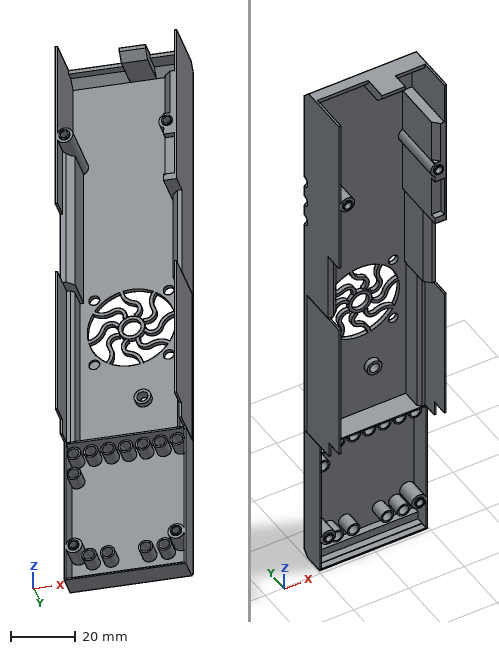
import cadquery as cq
import math


width = 39.0
length = 191.0
half_width = width / 2
wall_depth = 21.0
wall = 0.8
seam_z = 51.0
overlap = 0.4

housing_floor = 1.5
top_wall = 1.3
top_chamfer = 2.9
inner_slope = 2.7
top_left_depth = 6.9
top_right_depth = 9.4
tab_left, tab_right = -0.4, 8.0
tab_depth = 15.3

window_depth = 14.5
left_window_bottom, left_window_top = 107.3, 132.7
right_window_bottom, right_window_top = 105.2, 135.6
corner_notch_height = 5.3
corner_notch_depth = 14.9

panel_inset = 0.1
panel_back_depth = 1.7

left_rib_edge, left_rib_bevel = -15.3, 2.3
right_rib_edge, right_rib_bevel = 16.0, 2.1
lower_left_rib_edge, lower_right_rib_edge = -16.5, 16.5
lower_rib_bevel = 1.1
lower_rib_depth = 9.4

block_edge = 15.3
block_top = 176.0
block_bevel = 2.1
block_bevel_bottom = 160.5
pocket_bottom, pocket_top = 137.9, 152.8
pocket_depth = 2.1
pocket_right = 18.7

post_x = 16.5
post_diameter = 5.3
post_tip_diameter = 3.5
post_tip_height = 0.5
post_hole_diameter = 2.5
upper_post_z = 157.5

dimple_radius = 2.1
dimple_depth = 2.1
dimple_pitch = 7.8
dimple_bottom_z = 137.3
dimple_count = 3

fan_z = 95.9
fan_radius = 14.1
fan_hole_spacing = 23.9
fan_hole_diameter = 3.5
blind_hole_floor = 0.8
hub_outer_radius = 4.2
hub_inner_radius = 3.0
arm_count = 8
arm_half_width = 0.5
inner_bend_offset = 6.7
inner_bend_radius = 2.7
outer_bend_radius = 5.3
bend_start, bend_join, bend_end = -65.0, 75.0, 178.0

boss_x, boss_z = 4.0, 68.4
boss_hole_diameter = 3.5
boss_depth = 3.5

cover_floor = 2.3
cover_depth = 9.5
cover_wall = 0.5
cover_chamfer = 2.1
step_top = 3.6
step_depth = 4.8
lip_top = 0.8
lip_depth = 7.3
lower_post_z = 12.5

tube_diameter = 4.5
tube_hole_diameter = 3.5
tube_depth = 7.6
tube_row_z = 48.0
tube_row_left = -17.0
tube_pitch = 5.5
tube_row_count = 7
single_tube_z = 40.5
end_tube_z = 9.5
end_tube_positions = (-12.0, -6.1, 6.1, 12.0)


def slab(x_min, x_max, z_min, z_max, depth_min, depth_max):
    """Box given by its X, Z and depth ranges."""
    return (
        cq.Workplane("XZ", origin=(0, -depth_min, 0))
        .center((x_min + x_max) / 2, (z_min + z_max) / 2)
        .rect(x_max - x_min, z_max - z_min)
        .extrude(depth_max - depth_min)
    )


def rod(x, z, diameter, depth_min, depth_max):
    """Cylinder along the depth direction."""
    base = cq.Workplane("XZ", origin=(x, -depth_min, z))
    return base.circle(diameter / 2).extrude(depth_max - depth_min)


def prism_along_z(points, z_min, z_max):
    """Extrude an (x, depth) outline along Z."""
    outline = [(x, -depth) for x, depth in points]
    return cq.Workplane("XY", origin=(0, 0, z_min)).polyline(outline).close().extrude(z_max - z_min)


def prism_along_x(points, x_min=-half_width, x_max=half_width):
    """Extrude a (depth, z) outline along X, by default across the full width."""
    outline = [(-depth, z) for depth, z in points]
    return cq.Workplane("YZ", origin=(x_min, 0, 0)).polyline(outline).close().extrude(x_max - x_min)


def bevelled_rib(edge, bevel, depth, z_min, z_max):
    """Rib from a side wall to its inner edge, with a 45 degree bevel at the front."""
    side = math.copysign(1, edge)
    outer = side * (half_width - overlap)
    points = [
        (outer, 0),
        (edge, 0),
        (edge, depth - bevel),
        (edge + side * bevel, depth),
        (outer, depth),
    ]
    return prism_along_z(points, z_min, z_max)


def screw_post(x, z, shoulder_depth):
    """Solid post with a narrower tip."""
    post = rod(x, z, post_diameter, 0, shoulder_depth)
    return post.union(rod(x, z, post_tip_diameter, 0, shoulder_depth + post_tip_height))


def screw_hole(x, z, bottom_depth, shoulder_depth):
    """Blind screw hole, open at the tip of a post."""
    return rod(x, z, post_hole_diameter, bottom_depth, shoulder_depth + post_tip_height)


def polar(center, radius, angle):
    turn = math.radians(angle)
    return (center[0] + radius * math.cos(turn), center[1] + radius * math.sin(turn))


def fan_arm():
    """S-shaped arm made of two tangent bends, for the arm that points up."""
    inner_center = (0, inner_bend_offset)
    outer_center = polar(inner_center, inner_bend_radius + outer_bend_radius, bend_join)
    outer_start = bend_join + 180
    inner_middle = (bend_start + bend_join) / 2
    outer_middle = (outer_start + bend_end) / 2

    def on_inner(offset, angle):
        return polar(inner_center, inner_bend_radius + offset, angle)

    def on_outer(offset, angle):
        return polar(outer_center, outer_bend_radius + offset, angle)

    half = arm_half_width
    return (
        cq.Workplane("XZ", origin=(0, 0, fan_z))
        .moveTo(*on_inner(half, bend_start))
        .threePointArc(on_inner(half, inner_middle), on_inner(half, bend_join))
        .threePointArc(on_outer(-half, outer_middle), on_outer(-half, bend_end))
        .lineTo(*on_outer(half, bend_end))
        .threePointArc(on_outer(half, outer_middle), on_outer(half, outer_start))
        .threePointArc(on_inner(-half, inner_middle), on_inner(-half, bend_start))
        .close()
        .extrude(housing_floor)
    )


def fan_grille():
    """Hub ring with arms that reach past the edge of the fan opening."""
    grille = rod(0, fan_z, 2 * hub_outer_radius, 0, housing_floor)
    arm = fan_arm()
    for i in range(arm_count):
        grille = grille.union(arm.rotate((0, 0, fan_z), (0, 1, fan_z), i * 360 / arm_count))
    return grille.cut(rod(0, fan_z, 2 * hub_inner_radius, 0, housing_floor))


def top_tab():
    """Thick tab of the top wall with its lower front edge cut off at 45 degrees."""
    top_inner = length - top_wall
    outline = [
        (0, length),
        (tab_depth, length),
        (tab_depth, top_inner),
        (tab_depth - inner_slope, top_inner - inner_slope),
        (0, top_inner - inner_slope),
    ]
    return prism_along_x(outline, tab_left, tab_right)


def housing_walls():
    """Floor, side walls, stepped top wall and the slope behind it."""
    body = slab(-half_width, half_width, seam_z, length, 0, housing_floor)
    for side in (-1, 1):
        edges = sorted((side * half_width, side * (half_width - wall)))
        body = body.union(slab(*edges, seam_z, length, 0, wall_depth))
    top_inner = length - top_wall
    body = body.union(slab(-half_width, tab_left, top_inner, length, 0, top_left_depth))
    body = body.union(slab(tab_right, half_width, top_inner, length, 0, top_right_depth))
    slope = prism_along_x([
        (0, top_inner - inner_slope),
        (housing_floor, top_inner - inner_slope),
        (housing_floor + inner_slope, top_inner),
        (housing_floor + inner_slope, length),
        (0, length),
    ])
    body = body.union(slope).union(top_tab())
    return body.cut(prism_along_x([(0, length), (top_chamfer, length), (0, length - top_chamfer)]))


def right_block():
    """Thick block on the right wall, bevelled above the post and with a pocket below it."""
    block = slab(block_edge, half_width, right_window_top, block_top, 0, wall_depth)
    bevel = prism_along_z(
        [
            (block_edge, wall_depth),
            (block_edge + block_bevel, wall_depth),
            (block_edge, wall_depth - block_bevel),
        ],
        block_bevel_bottom,
        block_top,
    )
    pocket_floor = wall_depth - pocket_depth
    pocket = slab(block_edge, pocket_right, pocket_bottom, pocket_top, pocket_floor, wall_depth)
    return block.cut(bevel).cut(pocket)


def dimple(z):
    """Cone that narrows to a point inside the left face."""
    base = cq.Vector(-half_width, 0, z)
    return cq.Workplane(cq.Solid.makeCone(dimple_radius, 0, dimple_depth, base, cq.Vector(1, 0, 0)))


def make_housing():
    """Long tray with the fan grille, open at the front."""
    body = housing_walls()

    body = body.union(
        bevelled_rib(left_rib_edge, left_rib_bevel, window_depth, left_window_bottom, upper_post_z)
    )
    body = body.union(
        bevelled_rib(right_rib_edge, right_rib_bevel, window_depth, right_window_bottom, right_window_top)
    )
    body = body.union(
        bevelled_rib(lower_left_rib_edge, lower_rib_bevel, lower_rib_depth, seam_z, left_window_bottom)
    )
    body = body.union(
        bevelled_rib(lower_right_rib_edge, lower_rib_bevel, lower_rib_depth, seam_z, right_window_bottom)
    )
    body = body.union(right_block())

    body = body.cut(
        slab(-half_width, 0, left_window_bottom, left_window_top, window_depth, wall_depth)
    )
    body = body.cut(
        slab(0, half_width, right_window_bottom, right_window_top, window_depth, wall_depth)
    )
    notch_top = seam_z + corner_notch_height
    body = body.cut(slab(-half_width, half_width, seam_z, notch_top, corner_notch_depth, wall_depth))

    inner = half_width - panel_inset
    body = body.cut(slab(-half_width, -inner, seam_z, left_window_bottom, panel_back_depth, wall_depth))
    body = body.cut(slab(inner, half_width, seam_z, right_window_bottom, panel_back_depth, wall_depth))

    for x in (-post_x, post_x):
        body = body.union(screw_post(x, upper_post_z, wall_depth))
        body = body.cut(screw_hole(x, upper_post_z, housing_floor, wall_depth))

    for i in range(dimple_count):
        z = dimple_bottom_z + i * dimple_pitch
        body = body.cut(dimple(z))

    body = body.cut(rod(0, fan_z, 2 * fan_radius, 0, housing_floor)).union(fan_grille())
    for x_side in (-1, 1):
        for z_side in (-1, 1):
            x = x_side * fan_hole_spacing / 2
            z = fan_z + z_side * fan_hole_spacing / 2
            bottom = blind_hole_floor if x_side < 0 and z_side < 0 else 0
            body = body.cut(rod(x, z, fan_hole_diameter, bottom, housing_floor))

    body = body.union(rod(boss_x, boss_z, post_diameter, 0, boss_depth))
    return body.cut(rod(boss_x, boss_z, boss_hole_diameter, 0, boss_depth))


def tube_centers():
    """(x, z) of every wire tube: the row below the top wall, the single one and the end group."""
    row = [(tube_row_left + i * tube_pitch, tube_row_z) for i in range(tube_row_count)]
    end = [(x, end_tube_z) for x in end_tube_positions]
    return row + [(tube_row_left, single_tube_z)] + end


def make_cover():
    """Shallow tray that closes the bottom end of the housing."""
    body = slab(-half_width, half_width, 0, seam_z, 0, cover_depth)
    inner = half_width - cover_wall
    body = body.cut(slab(-inner, inner, cover_wall, seam_z - cover_wall, cover_floor, cover_depth))
    body = body.union(slab(-inner, inner, 0, step_top, 0, step_depth))
    body = body.union(slab(-inner, inner, 0, lip_top, 0, lip_depth))
    body = body.cut(prism_along_x([(0, 0), (cover_chamfer, 0), (0, cover_chamfer)]))

    for x, z in tube_centers():
        body = body.union(rod(x, z, tube_diameter, 0, tube_depth))
    for x in (-post_x, post_x):
        body = body.union(screw_post(x, lower_post_z, cover_depth))
    for x, z in tube_centers():
        body = body.cut(rod(x, z, tube_hole_diameter, 0, tube_depth))
    for x in (-post_x, post_x):
        body = body.cut(screw_hole(x, lower_post_z, cover_floor, cover_depth))
    return body


housing = make_housing()
cover = make_cover()

result = cq.Compound.makeCompound([housing.val(), cover.val()])